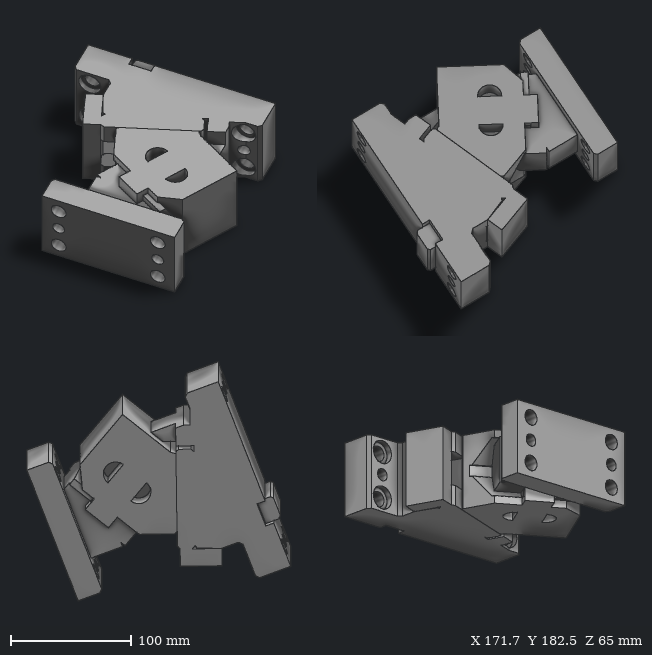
import cadquery as cq
import math


thickness = 65.0
half_thickness = thickness / 2
total_y = 182.5
margin = 1.8

foot_width = 120.3
foot_height = 22.0
foot_chamfer = 2.5
foot_hole_half_spacing = 44.9

bolt_diameter = 13.3
dowel_diameter = 10.5
bolt_half_spacing_z = 20.0

base_width = 169.9
base_center_x = -10.0
flange_top = 175.7
flange_height = 30.5
flange_bottom = flange_top - flange_height
flange_chamfer = 3.0
base_hole_half_spacing = 70.0
counterbore_diameter = 20.0
counterbore_depth = 5.5
counterbore_clearance = 4.5
neck_left = -60.2
neck_right = 50.2

key_center_x = -44.9
key_width = 20.3
key_length = 50.0
key_chamfer = 2.0
key_slot_depth = 7.1

guide_angle = 20.0
guide_origin = (-7.0, 107.7)
guide_half_width = 42.5
guide_land_half_width = 40.5
guide_edge_height = 2.4
relief_bottom = 12.6
relief_top = 15.0
left_hook_outer = -58.2
left_hook_inner = -43.3
left_hook_bottom = 2.2
left_hook_top = 37.0
right_hook_inner = 45.5
right_hook_outer = 63.1
right_hook_top = 12.0
left_slit_width = 1.0
stop_half_thickness = 17.5
stop_reach = 20.0
pocket_right = -23.7
pocket_mouth_half_thickness = 14.8
pocket_height = 38.3

ramp_angle = -30.0
ramp_origin = (13.3, 61.9)
roof_angle = 30.0
driver_half_length = 35.0
ridge_half_width = 4.4
stem_half_width = 20.0
wing_half_width = 25.7
wing_bottom = -18.6
stem_end_bottom = -31.4
stem_left = -32.7
stem_step_y = 50.0
stem_notch_depth = 4.0

slider_top = 57.3
slider_right = 40.2
slider_bottom = -13.9
slider_slope_start = 25.2
slider_slope_end = 1.3
slider_guide_left = -28.3
slider_guide_right = 38.7
slider_left_side = -30.3
slider_left_chamfer = 1.6
slider_right_chamfer_end = -11.1
tab_half_length = 12.5
tab_bottom = -25.5
tab_gap_half_width = 20.8
wing_pocket_half_width = 26.6
wing_pocket_bottom = -19.0
ridge_groove_half_width = 5.0
ridge_groove_height = 1.3
channel_reach = 58.4
recess_radius = 10.0
recess_height = 14.2
recess_depth = 18.2


def frame_point(origin, angle, along, above):
    """XY position of a point given along and above a line tilted by angle."""
    a = math.radians(angle)
    return (
        origin[0] + along * math.cos(a) - above * math.sin(a),
        origin[1] + along * math.sin(a) + above * math.cos(a),
    )


def guide(along, above):
    return frame_point(guide_origin, guide_angle, along, above)


def ramp(along, above):
    return frame_point(ramp_origin, ramp_angle, along, above)


def guide_at_x(x, above):
    """Point with the given X on the line parallel to the sliding face."""
    a = math.radians(guide_angle)
    return guide((x - guide_origin[0] + above * math.sin(a)) / math.cos(a), above)


def guide_at_y(y, above):
    """Point with the given Y on the line parallel to the sliding face."""
    a = math.radians(guide_angle)
    return guide((y - guide_origin[1] - above * math.cos(a)) / math.sin(a), above)


def guide_side_at_x(x, along):
    """Point with the given X on the line square to the sliding face."""
    a = math.radians(guide_angle)
    return guide(along, (guide_origin[0] + along * math.cos(a) - x) / math.sin(a))


def ramp_at_guide_side(along, above):
    """Point on a line parallel to the ramp that meets a line square to the sliding face."""
    a = math.radians(guide_angle)
    start = ramp(0, above)
    start_along = (
        (start[0] - guide_origin[0]) * math.cos(a) + (start[1] - guide_origin[1]) * math.sin(a)
    )
    return ramp((along - start_along) / math.cos(math.radians(guide_angle - ramp_angle)), above)


def prism(points, half_height=half_thickness):
    """Prism over an XY outline, symmetric about Z = 0."""
    return cq.Workplane("XY").polyline(points).close().extrude(half_height, both=True)


def ramp_prism(half_section, start, end):
    """Prism along the ramp from (half width, height) points, mirrored about Z = 0."""
    a = math.radians(ramp_angle)
    plane = cq.Plane(
        origin=(*ramp(start, 0), 0),
        xDir=(0, 0, 1),
        normal=(math.cos(a), math.sin(a), 0),
    )
    right = [(width, -height) for width, height in half_section]
    left = [(-width, height) for width, height in reversed(right)]
    return cq.Workplane(plane).polyline(right + left).close().extrude(end - start)


def y_cylinders(positions, diameter, y_start, y_end):
    """Cylinders along Y at the given (x, z) positions."""
    plane = cq.Plane(origin=(0, y_start, 0), xDir=(1, 0, 0), normal=(0, -1, 0))
    return (
        cq.Workplane(plane)
        .pushPoints(positions)
        .circle(diameter / 2)
        .extrude(y_start - y_end)
    )


def hole_positions(center_x, half_spacing):
    """Positions of the bolt holes and of the dowel holes."""
    columns = [center_x - half_spacing, center_x + half_spacing]
    bolts = [(x, z) for x in columns for z in (-bolt_half_spacing_z, bolt_half_spacing_z)]
    dowels = [(x, 0) for x in columns]
    return bolts, dowels


def roof_height(half_width):
    """Height of the driver's roof at a half width; the ridge is at zero."""
    return -(half_width - ridge_half_width) * math.tan(math.radians(roof_angle))


def make_driver():
    half_foot = foot_width / 2
    foot = prism([
        (-half_foot, 0),
        (half_foot, 0),
        (half_foot, foot_height - foot_chamfer),
        (half_foot - foot_chamfer, foot_height),
        (foot_chamfer - half_foot, foot_height),
        (-half_foot, foot_height - foot_chamfer),
    ])
    bolts, dowels = hole_positions(0, foot_hole_half_spacing)
    foot = foot.cut(y_cylinders(bolts, bolt_diameter, foot_height, 0))
    foot = foot.cut(y_cylinders(dowels, dowel_diameter, foot_height, 0))

    right_end_height = ramp(driver_half_length, 0)[1] - foot_height
    right_end_drop = right_end_height / math.cos(math.radians(ramp_angle))
    stem = prism([
        ramp(-driver_half_length, 0),
        ramp(driver_half_length, 0),
        ramp(driver_half_length, -right_end_drop),
        (stem_left, foot_height),
        (stem_left, stem_step_y),
        (stem_left + stem_notch_depth, stem_step_y),
        ramp(-driver_half_length, stem_end_bottom),
    ], stem_half_width)
    roof = [
        (ridge_half_width, 0),
        (stem_half_width, roof_height(stem_half_width)),
        (stem_half_width, -ramp_origin[1]),
    ]
    stem = stem.intersect(ramp_prism(roof, -driver_half_length - margin, driver_half_length + margin))
    wings = ramp_prism([
        (ridge_half_width, 0),
        (wing_half_width, roof_height(wing_half_width)),
        (wing_half_width, wing_bottom),
    ], -tab_half_length, driver_half_length)
    return foot.union(stem).union(wings)


def make_slider():
    slider = prism([
        guide(slider_guide_left, 0),
        guide(slider_guide_right, 0),
        ramp(slider_right_chamfer_end, slider_top),
        ramp(slider_right, slider_top),
        ramp(slider_right, slider_slope_end),
        ramp(slider_slope_start, slider_bottom),
        ramp(tab_half_length, slider_bottom),
        ramp(tab_half_length, tab_bottom),
        ramp(-tab_half_length, tab_bottom),
        ramp(-tab_half_length, slider_bottom),
        ramp_at_guide_side(slider_left_side, slider_bottom),
        guide(slider_left_side, -slider_left_chamfer),
    ])
    channel = [
        (ridge_groove_half_width, ridge_groove_height),
        (ridge_groove_half_width, roof_height(ridge_groove_half_width)),
        (wing_half_width, roof_height(wing_half_width)),
        (wing_half_width, wing_pocket_bottom),
        (tab_gap_half_width, wing_pocket_bottom),
        (tab_gap_half_width, tab_bottom - margin),
    ]
    slider = slider.cut(ramp_prism(channel, -channel_reach, channel_reach))
    wing_pocket = [
        (wing_pocket_half_width, slider_bottom),
        (wing_pocket_half_width, wing_pocket_bottom),
    ]
    slider = slider.cut(ramp_prism(wing_pocket, -tab_half_length, tab_half_length))
    for side in (-1, 1):
        center = side * tab_half_length
        outline = (
            cq.Workplane("XY", origin=(0, 0, half_thickness - recess_depth))
            .moveTo(*ramp(center, recess_height - recess_radius))
            .threePointArc(
                ramp(center + side * recess_radius, recess_height),
                ramp(center, recess_height + recess_radius),
            )
            .close()
        )
        recess = outline.extrude(recess_depth)
        slider = slider.cut(recess).cut(recess.mirror("XY"))
    return slider


def pocket_block(bottom, top, half_height):
    """Part of the central pocket beside the left hook."""
    return prism([
        guide(left_hook_inner, bottom),
        guide(pocket_right, bottom),
        guide(pocket_right, top),
        guide(left_hook_inner, top),
    ], half_height)


def make_base(slider):
    left = base_center_x - base_width / 2
    right = base_center_x + base_width / 2
    base = prism([
        (left, flange_top),
        (left, flange_bottom + flange_chamfer),
        (left + flange_chamfer, flange_bottom),
        (neck_left - flange_chamfer, flange_bottom),
        (neck_left, flange_bottom - flange_chamfer),
        guide_at_x(neck_left, left_hook_top),
        guide(left_hook_outer, left_hook_top),
        guide(left_hook_outer, left_hook_bottom),
        guide(left_hook_inner, left_hook_bottom),
        guide(-guide_land_half_width, 0),
        guide_at_x(neck_right, 0),
        guide_side_at_x(neck_right, right_hook_outer),
        guide(right_hook_outer, right_hook_top),
        guide_at_y(flange_bottom, right_hook_top),
        (right - flange_chamfer, flange_bottom),
        (right, flange_bottom + flange_chamfer),
        (right, flange_top),
    ])

    left_slit = prism([
        guide(left_hook_inner, left_hook_top),
        guide(left_hook_inner, relief_bottom),
        guide(-guide_land_half_width, relief_top),
        guide(left_hook_inner + left_slit_width, relief_top + left_slit_width),
    ])
    right_slit = prism([
        guide(right_hook_inner, -margin),
        guide(right_hook_inner, relief_top),
        guide(guide_land_half_width, relief_top),
        guide(guide_half_width, relief_bottom),
        guide(guide_half_width, guide_edge_height),
        guide(guide_land_half_width, 0),
        guide(guide_land_half_width, -margin),
    ])
    base = base.cut(left_slit).cut(right_slit)
    base = base.cut(pocket_block(-margin, pocket_height, pocket_mouth_half_thickness))
    base = base.cut(pocket_block(relief_top, pocket_height, stop_half_thickness))

    stop = prism([
        guide(right_hook_inner, 0),
        guide(right_hook_inner, -stop_reach),
        (neck_right, guide(right_hook_inner, -stop_reach)[1]),
        guide_at_x(neck_right, 0),
    ], stop_half_thickness)
    base = base.union(stop.cut(slider))

    slot_floor = flange_top - key_slot_depth
    slot = cq.Workplane("XY").box(key_width, key_slot_depth, thickness)
    base = base.cut(slot.translate((key_center_x, flange_top - key_slot_depth / 2, 0)))
    key_height = total_y - slot_floor
    key = (
        cq.Workplane("XY")
        .box(key_width, key_height, key_length)
        .faces(">Y")
        .edges("|Z")
        .chamfer(key_chamfer)
    )
    base = base.union(key.translate((key_center_x, slot_floor + key_height / 2, 0)))

    bolts, dowels = hole_positions(base_center_x, base_hole_half_spacing)
    counterbore_start = flange_bottom - counterbore_clearance
    counterbore_floor = flange_bottom + counterbore_depth
    base = base.cut(y_cylinders(bolts, counterbore_diameter, counterbore_floor, counterbore_start))
    base = base.cut(y_cylinders(bolts, bolt_diameter, flange_top, counterbore_start))
    base = base.cut(y_cylinders(dowels, dowel_diameter, flange_top, counterbore_start))
    return base


driver = make_driver()
slider = make_slider()
base = make_base(slider)

result = cq.Compound.makeCompound([
    base.solids().val(),
    slider.solids().val(),
    driver.solids().val(),
])